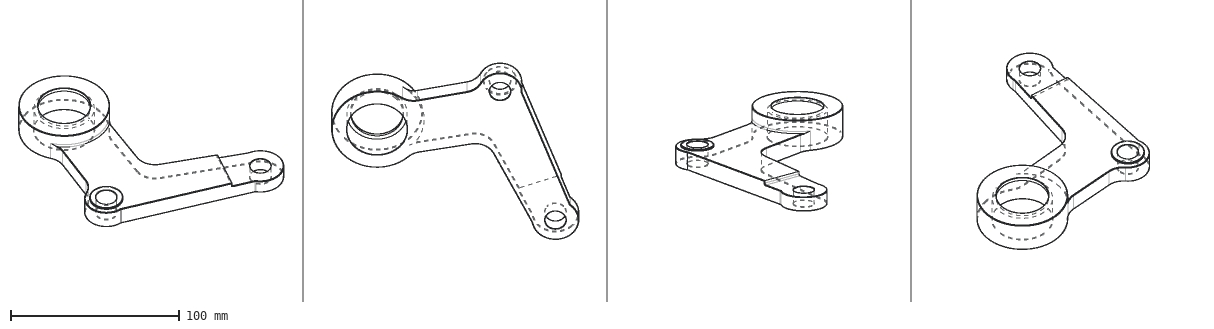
import cadquery as cq

BOSS_RADIUS = 27.0
BOSS_HEIGHT = 19.5
BORE_RADIUS = 18.0
LIP_RADIUS = 15.6
LIP_DEPTH = 2.3
CORNER_CENTER = (78.0, 0)
CORNER_RADIUS = 13.0
TIP_CENTER = (77.3, 97.0)
TIP_RADIUS = 14.0
PIN_HOLE_RADIUS = 6.2
PAD_RADIUS = 10.0
PAD_HEIGHT = 12.4

PLATE_HEIGHT = 11.5
TIP_HEIGHT = 9.0
STEP_Y = 75.1

INNER_CORNER = (58.2, 30.9)
UPPER_EDGE_START = (0, 20.8)
LOWER_EDGE_START = (0, -15.6)
LOWER_EDGE_END = (CORNER_CENTER[0], -3.7)
INNER_EDGE_END = (63.9, TIP_CENTER[1])
OUTER_EDGE_TOP = (89.1, TIP_CENTER[1])
OUTER_EDGE_BOTTOM = (90.0, 0)

BLEND_RADIUS = 12.0
TIP_BLEND_RADIUS = 1.4
ROOT_RADIUS = 1.0
EDGE_BREAK = 0.4
HOLE_BREAK = 0.3

BLENDED_CORNERS = (
    INNER_CORNER,
    (13.1, 23.5),
    (24.4, -11.7),
    (66.2, -5.5),
    (63.8, 93.8),
)
TIP_OUTER_CORNER = (89.1, 89.8)


def cylinder(center, radius, height):
    return cq.Workplane("XY").center(*center).circle(radius).extrude(height)


def blend_upright_edge(body, corner, radius):
    middle = (*corner, BOSS_HEIGHT / 2)
    nearest = cq.selectors.NearestToPointSelector(middle)
    return body.edges("|Z").edges(nearest).fillet(radius)


def make_outline():
    """Blended outline of the whole lever, extruded to the boss height."""
    corners = [
        UPPER_EDGE_START,
        INNER_CORNER,
        INNER_EDGE_END,
        OUTER_EDGE_TOP,
        OUTER_EDGE_BOTTOM,
        LOWER_EDGE_END,
        LOWER_EDGE_START,
    ]
    body = cq.Workplane("XY").polyline(corners).close().extrude(BOSS_HEIGHT)
    body = body.union(cylinder((0, 0), BOSS_RADIUS, BOSS_HEIGHT))
    body = body.union(cylinder(CORNER_CENTER, CORNER_RADIUS, BOSS_HEIGHT))
    body = body.union(cylinder(TIP_CENTER, TIP_RADIUS, BOSS_HEIGHT))
    for corner in BLENDED_CORNERS:
        body = blend_upright_edge(body, corner, BLEND_RADIUS)
    return blend_upright_edge(body, TIP_OUTER_CORNER, TIP_BLEND_RADIUS)


def block_above(height, start_y):
    """Block covering everything above a height and beyond a Y position."""
    size = 3 * TIP_CENTER[1]
    block = cq.Workplane("XY").box(size, size, size, centered=(True, False, False))
    return block.translate((0, start_y, height))


def make_plate(outline):
    """Stepped plate with a rounded step root and broken edges."""
    plate = outline.cut(block_above(PLATE_HEIGHT, -TIP_CENTER[1]))
    tip_cutter = block_above(TIP_HEIGHT, STEP_Y).edges("<Y and <Z").fillet(ROOT_RADIUS)
    plate = plate.faces("<Z").chamfer(EDGE_BREAK)
    plate = plate.faces(">Z").chamfer(EDGE_BREAK)
    plate = plate.cut(tip_cutter)
    tip_plane = cq.selectors.NearestToPointSelector((*TIP_CENTER, TIP_HEIGHT))
    tip_edges = plate.faces(tip_plane).edges("not(<Y)")
    return tip_edges.chamfer(EDGE_BREAK)


def make_root_fillet(outline):
    """Concave ring around the boss, kept only where it lies on the plate."""
    outer = BOSS_RADIUS + ROOT_RADIUS
    top = PLATE_HEIGHT + ROOT_RADIUS
    slant = ROOT_RADIUS * (1 - 0.5 ** 0.5)
    ring = (
        cq.Workplane("XZ")
        .moveTo(BORE_RADIUS, TIP_HEIGHT)
        .lineTo(outer, TIP_HEIGHT)
        .lineTo(outer, PLATE_HEIGHT)
        .threePointArc((BOSS_RADIUS + slant, PLATE_HEIGHT + slant), (BOSS_RADIUS, top))
        .lineTo(BORE_RADIUS, top)
        .close()
        .revolve(360, (0, 0, 0), (0, 1, 0))
    )
    return ring.intersect(outline)


def hole_cutter(center, radius, height, chamfer_top=True):
    """Hole from the bottom up, widened by a chamfer at the bottom and optionally at the top."""
    wide = radius + HOLE_BREAK
    top_radius = wide if chamfer_top else radius
    cutter = (
        cq.Workplane("XZ")
        .polyline([
            (0, 0),
            (wide, 0),
            (radius, HOLE_BREAK),
            (radius, height - HOLE_BREAK),
            (top_radius, height),
            (0, height),
        ])
        .close()
        .revolve(360, (0, 0, 0), (0, 1, 0))
    )
    return cutter.translate((*center, 0))


outline = make_outline()
boss = cylinder((0, 0), BOSS_RADIUS, BOSS_HEIGHT).edges().chamfer(EDGE_BREAK)
pad = cylinder(CORNER_CENTER, PAD_RADIUS, PAD_HEIGHT).faces(">Z").chamfer(EDGE_BREAK)
result = make_plate(outline).union(make_root_fillet(outline)).union(boss).union(pad)
result = result.cut(hole_cutter((0, 0), LIP_RADIUS, BOSS_HEIGHT))
result = result.cut(hole_cutter((0, 0), BORE_RADIUS, BOSS_HEIGHT - LIP_DEPTH, chamfer_top=False))
result = result.cut(hole_cutter(CORNER_CENTER, PIN_HOLE_RADIUS, PAD_HEIGHT))
result = result.cut(hole_cutter(TIP_CENTER, PIN_HOLE_RADIUS, TIP_HEIGHT))